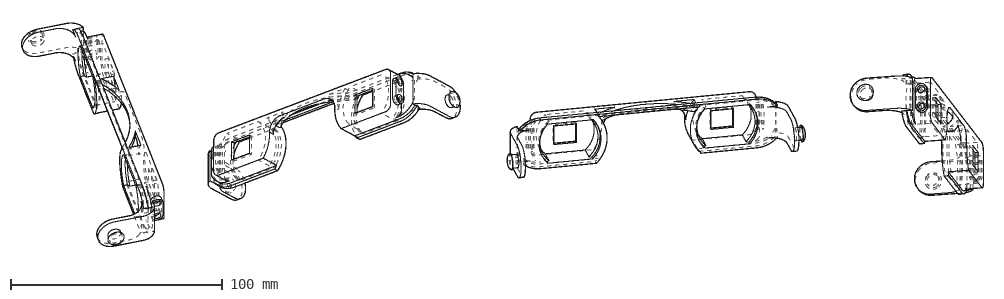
import cadquery as cq
import math


plate_height = 25.4
plate_radius = plate_height / 2
plate_end_x = 52.5
plate_thickness = 2.3
strip_height = 1.6
strip_rounding = 1.0

eye_x = 38.0
cup_radius = 18.0
opening_radius = 14.9
bore_radius = 14.0
opening_height = 20.4
opening_depth = 1.9
cup_wall = 1.6
window_width = 10.9
window_height = 9.6
window_z = -1.0

housing_height = 22.4
housing_end_x = 54.7
housing_corner = 3.3
back_y = 12.2
rim_back_y = 4.3

bridge_bottom_z = 7.9
bridge_wall = 2.9
arch_half_span = 20.8
arch_rounding = 1.9
band_thickness = 2.9
web_radius = 6.6

arm_outer_x = 67.3
arm_thickness = 2.2
arm_height = 16.1
arm_tip_y = -23.8
arm_hook_x = 62.6
arm_hook_y = 5.3
outer_bend_y = -1.6
inner_bend_radius = 7.8

pin_radius = 3.2
pin_head_radius = 4.0
pin_head_length = 1.5
pin_face_radius = 2.2
pin_dome_bulge = 0.22
pin_tip_x = 71.8

boss_width = 5.5
boss_length = 13.6
boss_height = 2.3
boss_y = 8.2
boss_hole_diameter = 3.5
boss_hole_depth = 2.2

housing_top_z = housing_height / 2
arm_inner_x = arm_outer_x - arm_thickness
tip_radius = arm_height / 2
tip_center_y = arm_tip_y + tip_radius


def box_between(x, y, z):
    """Box spanning the three given (low, high) ranges."""
    solid = cq.Workplane("XY").box(x[1] - x[0], y[1] - y[0], z[1] - z[0], centered=False)
    return solid.translate((x[0], y[0], z[0]))


def cylinder_y(x, z, radius, y):
    """Cylinder along Y spanning the (low, high) range y."""
    axis = cq.Vector(0, 1, 0)
    return cq.Workplane(cq.Solid.makeCylinder(radius, y[1] - y[0], cq.Vector(x, y[0], z), axis))


def both_sides(solid):
    """The solid together with its mirror image across X = 0."""
    return solid.union(solid.mirror("YZ"))


def cup_blank(end_radius, half_height, y):
    """Left cup outline: round outer end, flat top and bottom, rounded nose side."""
    nose_side = cylinder_y(-eye_x, 0, cup_radius, y)
    middle = box_between((-plate_end_x, -eye_x), y, (-half_height, half_height))
    band = box_between((-plate_end_x, 0), y, (-half_height, half_height))
    outer_end = cylinder_y(-plate_end_x, 0, end_radius, y)
    return nose_side.intersect(band).union(middle).union(outer_end)


def make_plate():
    cups = both_sides(cup_blank(plate_radius, plate_radius, (0, plate_thickness)))
    strip = box_between((-eye_x, eye_x), (0, plate_thickness), (plate_radius - strip_height, plate_radius))
    strip = strip.edges("<Y and <Z").fillet(strip_rounding)
    return cups.union(strip)


def make_housing():
    rim = cup_blank(housing_top_z, housing_top_z, (0, rim_back_y))
    block = box_between((-housing_end_x, -eye_x), (0, back_y), (-housing_top_z, housing_top_z))
    block = block.edges("|Y and <X").fillet(housing_corner)
    nose_side = cylinder_y(-eye_x, 0, cup_radius, (0, back_y))
    nose_side = nose_side.intersect(
        box_between((-eye_x, 0), (0, back_y), (-housing_top_z, housing_top_z))
    )
    return both_sides(rim.union(block).union(nose_side))


def make_bridge():
    blank = box_between((-eye_x, eye_x), (0, back_y), (bridge_bottom_z, housing_top_z))

    arch_rise = back_y - bridge_wall - plate_thickness
    arch_radius = (arch_half_span**2 + arch_rise**2) / (2 * arch_rise)
    arch_center_y = back_y - bridge_wall - arch_radius

    def arch_cylinder(radius):
        solid = cq.Workplane("XY").circle(radius).extrude(housing_height)
        return solid.translate((0, arch_center_y, 0))

    bridge = blank.cut(arch_cylinder(arch_radius))
    bridge = bridge.faces("<Z").edges("%CIRCLE").fillet(arch_rounding)

    pockets = box_between((-eye_x, eye_x), (plate_thickness, back_y - bridge_wall), (0, plate_height))
    pockets = pockets.cut(arch_cylinder(arch_radius + band_thickness))
    return bridge.cut(pockets)


def make_webs():
    """Concave corner webs between the cups and the underside of the bridge."""
    y = (back_y - bridge_wall, back_y)
    center_x = -eye_x + math.sqrt((cup_radius + web_radius)**2 - (bridge_bottom_z - web_radius)**2)
    center_z = bridge_bottom_z - web_radius
    web = box_between((-eye_x, center_x), y, (center_z, bridge_bottom_z))
    web = web.cut(cylinder_y(center_x, center_z, web_radius, y))
    return both_sides(web)


def make_eye_cut():
    """Stepped eye opening with flat top and bottom, and the window behind it."""
    floor_y = back_y - cup_wall
    step_end_y = opening_depth + opening_radius - bore_radius
    bore = (
        cq.Workplane("XY")
        .polyline([
            (0, 0),
            (opening_radius, 0),
            (opening_radius, opening_depth),
            (bore_radius, step_end_y),
            (bore_radius, floor_y),
            (0, floor_y),
        ])
        .close()
        .revolve(360, (0, 0, 0), (0, 1, 0))
    )
    half_height = opening_height / 2
    bore = bore.intersect(
        box_between((-cup_radius, cup_radius), (0, back_y), (-half_height, half_height))
    )
    window = cq.Workplane("XY").box(window_width, 2 * back_y, window_height)
    window = window.translate((0, back_y, window_z))
    return both_sides(bore.union(window).translate((-eye_x, 0, 0)))


def make_arm():
    bend_x = arm_outer_x - arm_hook_x
    bend_y = arm_hook_y - outer_bend_y
    outer_bend_radius = (bend_x**2 + bend_y**2) / (2 * bend_x)
    half_angle = math.asin(bend_y / outer_bend_radius) / 2
    outer_mid = (
        -arm_outer_x + outer_bend_radius * (1 - math.cos(half_angle)),
        outer_bend_y + outer_bend_radius * math.sin(half_angle),
    )
    inner_end_x = -arm_inner_x + inner_bend_radius
    inner_mid = (
        inner_end_x - inner_bend_radius * math.sqrt(0.5),
        -inner_bend_radius * (1 - math.sqrt(0.5)),
    )
    arm = (
        cq.Workplane("XY")
        .moveTo(-arm_outer_x, arm_tip_y)
        .lineTo(-arm_outer_x, outer_bend_y)
        .threePointArc(outer_mid, (-arm_hook_x, arm_hook_y))
        .lineTo(-arm_hook_x, plate_thickness / 2)
        .lineTo(inner_end_x, plate_thickness / 2)
        .lineTo(inner_end_x, 0)
        .threePointArc(inner_mid, (-arm_inner_x, -inner_bend_radius))
        .lineTo(-arm_inner_x, arm_tip_y)
        .close()
        .extrude(tip_radius, both=True)
    )
    side_outline = (
        cq.Workplane("YZ")
        .moveTo(back_y, -tip_radius)
        .lineTo(tip_center_y, -tip_radius)
        .threePointArc((arm_tip_y, 0), (tip_center_y, tip_radius))
        .lineTo(back_y, tip_radius)
        .close()
        .extrude(-arm_outer_x)
    )
    return arm.intersect(side_outline)


def make_pin():
    head_x = pin_tip_x - pin_head_length
    head_mid_x = (head_x + pin_tip_x) / 2 + pin_dome_bulge
    head_mid_radius = (pin_face_radius + pin_head_radius) / 2 + pin_dome_bulge
    pin = (
        cq.Workplane("XY")
        .moveTo(-arm_inner_x, 0)
        .lineTo(-arm_inner_x, pin_radius)
        .lineTo(-head_x, pin_radius)
        .lineTo(-head_x, pin_head_radius)
        .threePointArc((-head_mid_x, head_mid_radius), (-pin_tip_x, pin_face_radius))
        .lineTo(-pin_tip_x, 0)
        .close()
        .revolve(360, (0, 0, 0), (1, 0, 0))
    )
    return pin.translate((0, tip_center_y, 0))


def add_bosses(body):
    hole_z = (boss_length - boss_width) / 2
    side = cq.Workplane("YZ", origin=(-housing_end_x, boss_y, 0))
    boss = side.slot2D(boss_length, boss_width, 90).extrude(-boss_height)
    face = side.workplane(offset=-boss_height)
    hole_circles = face.pushPoints([(0, -hole_z), (0, hole_z)]).circle(boss_hole_diameter / 2)
    holes = hole_circles.extrude(boss_hole_depth)
    return body.union(both_sides(boss)).cut(both_sides(holes))


body = make_plate().union(make_housing()).union(make_bridge()).union(make_webs())
body = body.union(both_sides(make_arm())).union(both_sides(make_pin()))
body = body.cut(make_eye_cut())
result = add_bosses(body)